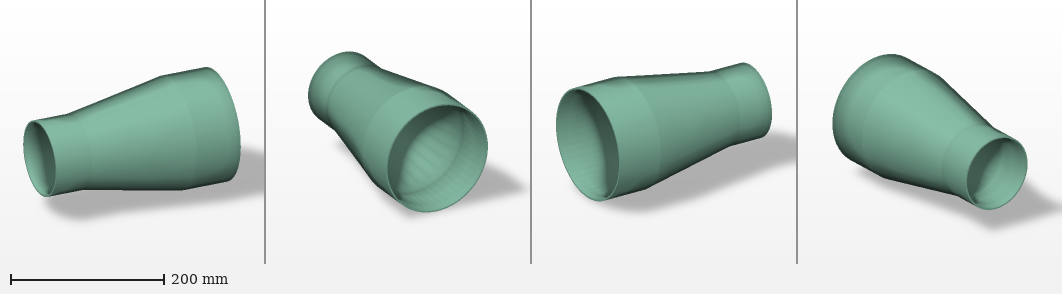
import cadquery as cq

total_length = 254.0
large_diameter = 152.5
small_diameter = 101.5
wall = 2.0
large_collar_length = 63.5
small_collar_length = 50.8

front_y = -total_length / 2
back_y = total_length / 2
cone_start_y = front_y + small_collar_length
cone_end_y = back_y - large_collar_length


def reducer_body(inset):
    """Solid of revolution whose radii are reduced by the inset."""
    small_radius = small_diameter / 2 - inset
    large_radius = large_diameter / 2 - inset
    return (
        cq.Workplane("YZ")
        .moveTo(front_y, 0)
        .lineTo(front_y, small_radius)
        .lineTo(cone_start_y, small_radius)
        .lineTo(cone_end_y, large_radius)
        .lineTo(back_y, large_radius)
        .lineTo(back_y, 0)
        .close()
        .revolve(360, (0, 0, 0), (1, 0, 0))
    )


result = reducer_body(0).cut(reducer_body(wall))